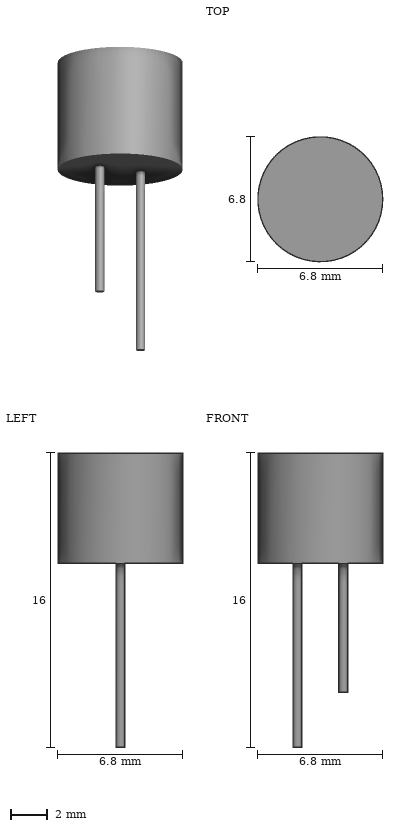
import cadquery as cq

can_diameter = 6.8
can_height = 6.0

lead_diameter = 0.5
lead_pitch = 2.5
long_lead_length = 10.0
short_lead_length = 7.0


def make_can():
    """Plain solid cylinder centred on the Z axis."""
    return cq.Workplane("XY").circle(can_diameter / 2).extrude(can_height)


def make_lead(x_position, length):
    """Round lead hanging down from the underside of the can."""
    return cq.Workplane("XY").center(x_position, 0).circle(lead_diameter / 2).extrude(-length)


can = make_can()

lead_layout = [
    (-lead_pitch / 2, long_lead_length),
    (lead_pitch / 2, short_lead_length),
]
leads = [make_lead(x_position, length) for x_position, length in lead_layout]

result = cq.Compound.makeCompound([can.val(), *[lead.val() for lead in leads]])